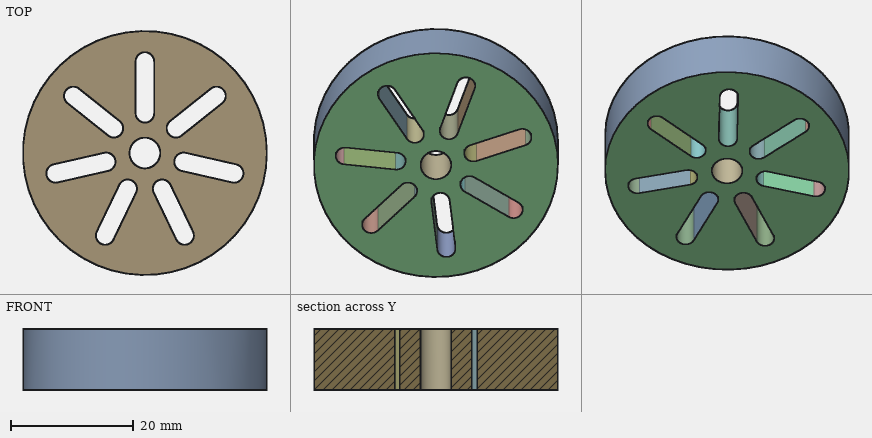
import cadquery as cq

disc_diameter = 40.0
disc_thickness = 10.0
bore_diameter = 5.0

slot_count = 7
slot_width = 3.0
slot_inner_radius = 5.0
slot_outer_radius = 16.5
first_slot_angle = 90.0

slot_length = slot_outer_radius - slot_inner_radius
slot_center_radius = (slot_outer_radius + slot_inner_radius) / 2


def make_disc():
    """Round disc standing on the XY plane, with a central through bore."""
    return (
        cq.Workplane("XY")
        .circle(disc_diameter / 2)
        .circle(bore_diameter / 2)
        .extrude(disc_thickness)
    )


def make_slot_cutters():
    """Round-ended slots through the full thickness, each lying along a radius."""
    return (
        cq.Workplane("XY")
        .polarArray(slot_center_radius, first_slot_angle, 360, slot_count)
        .slot2D(slot_length, slot_width)
        .extrude(disc_thickness)
    )


result = make_disc().cut(make_slot_cutters())